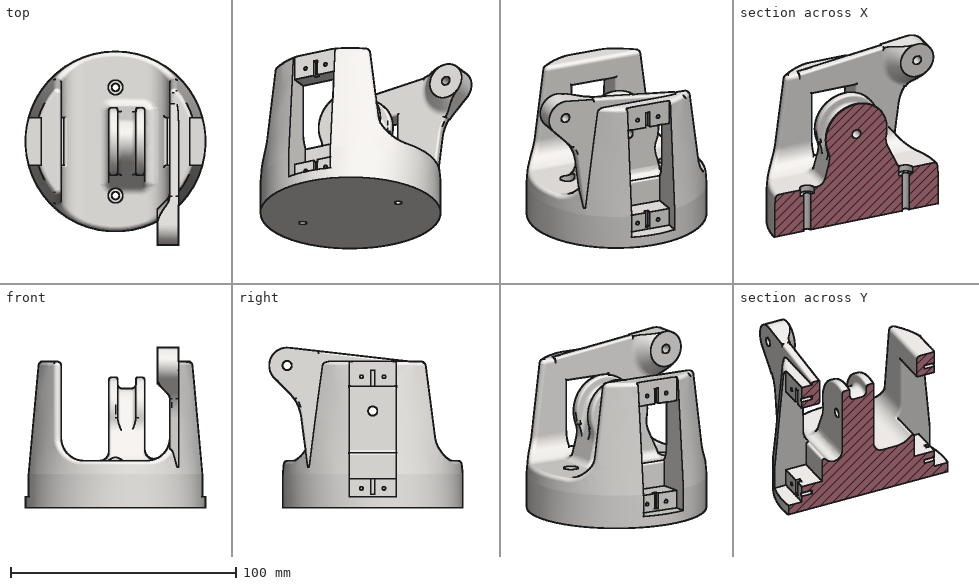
import cadquery as cq
import math

BASE_RADIUS = 40.0
BASE_HEIGHT = 15.0
WALL_TOP = 65.0
WALL_TAPER = 5.0
TOP_RADIUS = BASE_RADIUS - (WALL_TOP - BASE_HEIGHT) * math.tan(math.radians(WALL_TAPER))
WALL_INNER_X = 24.0
FLOOR_Z = 21.0
CHANNEL_RADIUS = 10.0
BODY_FILLET = 2.0

POCKET_WIDTH = 21.0
POCKET_FLOOR_X = 33.0
POCKET_BOTTOM_Z = 5.0
WINDOW_INNER_X = 23.0
WINDOW_BOTTOM_Z = 13.0
WINDOW_TOP_Z = 54.0
WINDOW_FILLET = 1.0

PIN_DIAMETER = 1.5
PIN_DEPTH = 5.0
PIN_SPACING = 10.0
UPPER_PIN_Z = 58.2
LOWER_PIN_Z = 8.7
KEY_WIDTH = 1.9
KEY_DEPTH = 2.0
KEY_LENGTH = 7.0

HUB_CENTER_X = 5.0
HUB_WIDTH = 16.0
HUB_AXIS_Z = 43.0
HUB_RADIUS = 15.0
GROOVE_RADIUS = 10.0
GROOVE_WIDTH = 8.0
GROOVE_FILLET = 2.0
HUB_BLEND_RADIUS = 10.0
HUB_FRONT_SLOPE = 25.0
HUB_BACK_SLOPE = 15.0
HUB_EDGE_FILLET = 1.25
RIM_FILLET = 1.0
HUB_BASE_FILLET = 4.0
HUB_ROOT_DEPTH = 2.0
AXLE_DIAMETER = 4.0

SCREW_Y = 24.0
SCREW_DIAMETER = 3.3
SCREW_HEAD_DIAMETER = 6.5
SCREW_HEAD_DEPTH = 3.0

ARM_OUTER_X = 28.0
ARM_EDGE_FILLET = 1.0
BOSS_Y = -37.97
BOSS_Z = 63.18
BOSS_RADIUS = 8.0
BOSS_INNER_X = 18.6
BOSS_FLARE_FILLET = 4.0
ARM_TOP_SLOPE = 6.5
ARM_NECK_ANGLE = 45.0
ARM_LOWER_SLOPE = 7.5
ARM_NECK_RADIUS = 18.0
ARM_CORNER_Z = 46.5
ARM_FOOT_Z = 18.0
ARM_BACK_LIMIT_Y = 16.0

CLEARANCE = 10.0
MARGIN = 0.1


def box(x_range, y_range, z_range):
    size = [high - low for low, high in (x_range, y_range, z_range)]
    corner = (x_range[0], y_range[0], z_range[0])
    return cq.Workplane("XY").box(*size, centered=False).translate(corner)


def x_cylinder(diameter, x_start, x_end, y, z):
    return (
        cq.Workplane("YZ", origin=(x_start, y, z))
        .circle(diameter / 2)
        .extrude(x_end - x_start)
    )


def make_blank():
    """Cylinder with a tapered upper part."""
    return (
        cq.Workplane("YZ")
        .lineTo(BASE_RADIUS, 0)
        .lineTo(BASE_RADIUS, BASE_HEIGHT)
        .lineTo(TOP_RADIUS, WALL_TOP)
        .lineTo(0, WALL_TOP)
        .close()
        .revolve(360, (0, 0, 0), (0, 1, 0))
    )


def make_body():
    """Blank split into two walls by a round-bottomed channel."""
    reach = BASE_RADIUS + CLEARANCE
    channel = (
        box((-WALL_INNER_X, WALL_INNER_X), (-reach, reach), (FLOOR_Z, WALL_TOP + CLEARANCE))
        .edges("|Y and <Z")
        .fillet(CHANNEL_RADIUS)
    )
    body = make_blank().cut(channel)
    upper = cq.selectors.BoxSelector((-reach, -reach, FLOOR_Z - 0.5), (reach, reach, WALL_TOP + 1))
    below_top = cq.selectors.BoxSelector((-reach, -reach, 0), (reach, reach, WALL_TOP - 1))
    seams = below_top & cq.StringSyntaxSelector("|Y")
    return body.edges(upper - seams).fillet(BODY_FILLET)


def hub_profile_points(side, slope):
    """Points down one side of the hub outline, as (y, z): rim, blend middle, foot, tangent, end."""
    angle = math.radians(slope)
    normal = (side * math.cos(angle), math.sin(angle))
    along = (side * math.sin(angle), -math.cos(angle))

    def at(out, down):
        return (out * normal[0] + down * along[0], HUB_AXIS_Z + out * normal[1] + down * along[1])

    blend_out = GROOVE_RADIUS + HUB_BLEND_RADIUS
    swing = math.acos(blend_out / (HUB_RADIUS + HUB_BLEND_RADIUS))
    blend_down = (HUB_RADIUS + HUB_BLEND_RADIUS) * math.sin(swing)
    half = swing / 2
    rim = at(HUB_RADIUS * math.cos(swing), HUB_RADIUS * math.sin(swing))
    middle = at(
        blend_out - HUB_BLEND_RADIUS * math.cos(half),
        blend_down - HUB_BLEND_RADIUS * math.sin(half),
    )
    foot = at(GROOVE_RADIUS, blend_down)
    tangent = at(GROOVE_RADIUS, 0)
    root_z = FLOOR_Z - HUB_ROOT_DEPTH
    end = at(GROOVE_RADIUS, (tangent[1] - root_z) / math.cos(angle))
    return rim, middle, foot, tangent, end


def groove_waste(front_end, front_tangent, back_tangent, back_end):
    """Round-cornered groove section swept up the front slope, over the hub and down the back."""
    path = (
        cq.Workplane("YZ", origin=(HUB_CENTER_X, 0, 0))
        .moveTo(*front_end)
        .lineTo(*front_tangent)
        .threePointArc((0, HUB_AXIS_Z + GROOVE_RADIUS), back_tangent)
        .lineTo(*back_end)
    )
    angle = math.radians(HUB_FRONT_SLOPE)
    plane = cq.Plane(
        origin=(HUB_CENTER_X, *front_end),
        xDir=(1, 0, 0),
        normal=(0, math.sin(angle), math.cos(angle)),
    )
    out = 1 if plane.yDir.y < 0 else -1
    half = GROOVE_WIDTH / 2
    flat = half - GROOVE_FILLET
    bend = GROOVE_FILLET * (1 - math.sqrt(0.5))
    depth = HUB_RADIUS - GROOVE_RADIUS + 1
    return (
        cq.Workplane(plane)
        .moveTo(-flat, 0)
        .lineTo(flat, 0)
        .threePointArc((half - bend, out * bend), (half, out * GROOVE_FILLET))
        .lineTo(half, out * depth)
        .lineTo(-half, out * depth)
        .lineTo(-half, out * GROOVE_FILLET)
        .threePointArc((-half + bend, out * bend), (-flat, 0))
        .close()
        .sweep(path)
    )


def rim_sliver(edge_x, side, start, end):
    """Waste that rounds one groove-side edge of the hub rim, clockwise between two (y, z) points."""
    bend = RIM_FILLET * (1 - math.sqrt(0.5))
    over = RIM_FILLET / 10
    start_angle = math.atan2(start[1] - HUB_AXIS_Z, start[0])
    end_angle = math.atan2(end[1] - HUB_AXIS_Z, end[0])
    sweep = math.degrees((start_angle - end_angle) % (2 * math.pi))
    return (
        cq.Workplane("XY")
        .moveTo(0, HUB_RADIUS - RIM_FILLET)
        .threePointArc((side * bend, HUB_RADIUS - bend), (side * RIM_FILLET, HUB_RADIUS))
        .lineTo(side * RIM_FILLET, HUB_RADIUS + over)
        .lineTo(-side * over, HUB_RADIUS + over)
        .lineTo(-side * over, HUB_RADIUS - RIM_FILLET)
        .close()
        .revolve(sweep, (0, 0, 0), (1, 0, 0))
        .rotate((0, 0, 0), (1, 0, 0), math.degrees(end_angle))
        .translate((edge_x, 0, HUB_AXIS_Z))
    )


def make_hub():
    """Grooved round head on a post that widens toward the floor."""
    f_rim, f_middle, f_foot, f_tangent, f_end = hub_profile_points(-1, HUB_FRONT_SLOPE)
    b_rim, b_middle, b_foot, b_tangent, b_end = hub_profile_points(1, HUB_BACK_SLOPE)
    hub = (
        cq.Workplane("YZ", origin=(HUB_CENTER_X - HUB_WIDTH / 2, 0, 0))
        .moveTo(*f_end)
        .lineTo(*f_foot)
        .threePointArc(f_middle, f_rim)
        .threePointArc((0, HUB_AXIS_Z + HUB_RADIUS), b_rim)
        .threePointArc(b_middle, b_foot)
        .lineTo(*b_end)
        .close()
        .extrude(HUB_WIDTH)
    )
    hub = hub.faces("<X or >X").edges("not <Z").fillet(HUB_EDGE_FILLET)
    hub = hub.cut(groove_waste(f_end, f_tangent, b_tangent, b_end))
    for side in (-1, 1):
        edge_x = HUB_CENTER_X + side * GROOVE_WIDTH / 2
        hub = hub.cut(rim_sliver(edge_x, side, f_rim, b_rim))
    return hub


def add_hub(body):
    body = body.union(make_hub())
    half_width = HUB_WIDTH / 2 + 0.5
    around_foot = cq.selectors.BoxSelector(
        (HUB_CENTER_X - half_width, -SCREW_Y, FLOOR_Z - MARGIN),
        (HUB_CENTER_X + half_width, SCREW_Y, FLOOR_Z + MARGIN),
    )
    body = body.edges(around_foot).fillet(HUB_BASE_FILLET)
    axle_hole = x_cylinder(
        AXLE_DIAMETER, HUB_CENTER_X - half_width, HUB_CENTER_X + half_width, 0, HUB_AXIS_Z
    )
    return body.cut(axle_hole)


def arm_outline():
    """Side outline of the arm: from the wall foot, around the boss and back to the wall top."""
    neck = math.radians(ARM_NECK_ANGLE)
    lower = math.radians(ARM_LOWER_SLOPE)
    top = math.radians(ARM_TOP_SLOPE)
    boss_bottom = (BOSS_Y - BOSS_RADIUS * math.sin(neck), BOSS_Z - BOSS_RADIUS * math.cos(neck))
    boss_top = (BOSS_Y + BOSS_RADIUS * math.sin(top), BOSS_Z + BOSS_RADIUS * math.cos(top))
    corner = (boss_bottom[0] + (boss_bottom[1] - ARM_CORNER_Z) / math.tan(neck), ARM_CORNER_Z)
    foot = (corner[0] + (ARM_CORNER_Z - ARM_FOOT_Z) * math.tan(lower), ARM_FOOT_Z)
    back_y = boss_top[0] + (boss_top[1] - WALL_TOP) / math.tan(top)
    turn = math.pi / 2 - lower - neck
    tangent = ARM_NECK_RADIUS * math.tan(turn / 2)
    arc_start = (corner[0] + tangent * math.sin(lower), corner[1] - tangent * math.cos(lower))
    arc_end = (corner[0] - tangent * math.cos(neck), corner[1] + tangent * math.sin(neck))
    return (
        cq.Workplane("YZ", origin=(BOSS_INNER_X, 0, 0))
        .moveTo(*foot)
        .lineTo(*arc_start)
        .radiusArc(arc_end, -ARM_NECK_RADIUS)
        .lineTo(*boss_bottom)
        .threePointArc((BOSS_Y - BOSS_RADIUS, BOSS_Z), boss_top)
        .lineTo(back_y, WALL_TOP)
        .lineTo(back_y, ARM_FOOT_Z)
        .close()
    )


def boss_flare():
    """45-degree cone that widens from the boss face and blends into the wall plane."""
    run = WALL_INNER_X - BOSS_INNER_X
    setback = BOSS_FLARE_FILLET * math.tan(math.pi / 8)
    diagonal = setback * math.sqrt(0.5)
    cone_end = (run - diagonal, BOSS_RADIUS + run - diagonal)
    plane_end = (run, BOSS_RADIUS + run + setback)
    plate_end = ARM_OUTER_X - BOSS_INNER_X
    return (
        cq.Workplane("XY", origin=(BOSS_INNER_X, BOSS_Y, BOSS_Z))
        .lineTo(0, BOSS_RADIUS)
        .lineTo(*cone_end)
        .radiusArc(plane_end, -BOSS_FLARE_FILLET)
        .lineTo(plate_end, plane_end[1])
        .lineTo(plate_end, 0)
        .close()
        .revolve(360, (0, 0, 0), (1, 0, 0))
    )


def add_arm(body):
    """Flat arm in the plane of one wall, with a thicker boss at its tip."""
    reach = 2 * BASE_RADIUS
    ceiling = 2 * WALL_TOP
    full = arm_outline().extrude(ARM_OUTER_X - BOSS_INNER_X)
    plate = full.intersect(box((WALL_INNER_X, ARM_OUTER_X), (-reach, reach), (0, ceiling)))
    exposed = cq.selectors.BoxSelector(
        (WALL_INNER_X - 1, -reach, ARM_FOOT_Z + MARGIN),
        (ARM_OUTER_X + 1, ARM_BACK_LIMIT_Y, ceiling),
    )
    plate = plate.faces("<X or >X").edges(exposed).fillet(ARM_EDGE_FILLET)
    boss = full.intersect(boss_flare())
    return body.union(plate).union(boss)


def wall_box(side, x_range, width, z_range):
    """Box centred on Y, with x_range measured outward on one side (-1 or 1) of the part."""
    block = box(x_range, (-width / 2, width / 2), z_range)
    return block if side > 0 else block.mirror("YZ")


def add_pocket(body, side):
    """Open-topped pocket and window through the wall on one side (-1 or 1)."""
    outside = BASE_RADIUS + CLEARANCE
    pocket_z = (POCKET_BOTTOM_Z, WALL_TOP + CLEARANCE)
    window_z = (WINDOW_BOTTOM_Z, WINDOW_TOP_Z)
    body = body.cut(wall_box(side, (POCKET_FLOOR_X, outside), POCKET_WIDTH, pocket_z))
    body = body.cut(wall_box(side, (WINDOW_INNER_X, outside), POCKET_WIDTH, window_z))
    half = POCKET_WIDTH / 2 + MARGIN
    opening = cq.selectors.BoxSelector(
        (side * (WINDOW_INNER_X - MARGIN), -half, FLOOR_Z),
        (side * (WALL_INNER_X + MARGIN), half, WINDOW_TOP_Z + MARGIN),
    )
    return body.edges(opening).fillet(WINDOW_FILLET)


def add_pins_and_keys(body, side):
    """Pin holes and key slots in the pocket floor, below and above the window."""
    floor_x = POCKET_FLOOR_X
    for pin_z in (LOWER_PIN_Z, UPPER_PIN_Z):
        for pin_y in (-PIN_SPACING / 2, PIN_SPACING / 2):
            pin = x_cylinder(PIN_DIAMETER, side * floor_x, side * (floor_x - PIN_DEPTH), pin_y, pin_z)
            body = body.cut(pin)
    for key_start in (WINDOW_BOTTOM_Z - KEY_LENGTH, WINDOW_TOP_Z):
        key_z = (key_start, key_start + KEY_LENGTH)
        body = body.cut(wall_box(side, (floor_x - KEY_DEPTH, floor_x), KEY_WIDTH, key_z))
    return body


def add_screw_holes(body):
    """Counterbored holes through the floor, in front of and behind the hub."""
    for y in (-SCREW_Y, SCREW_Y):
        hole = cq.Workplane("XY", origin=(0, y, 0)).circle(SCREW_DIAMETER / 2).extrude(FLOOR_Z)
        head = (
            cq.Workplane("XY", origin=(0, y, FLOOR_Z - SCREW_HEAD_DEPTH))
            .circle(SCREW_HEAD_DIAMETER / 2)
            .extrude(SCREW_HEAD_DEPTH + HUB_BASE_FILLET)
        )
        body = body.cut(hole).cut(head)
    return body


body = add_hub(make_body())
body = add_arm(body)
for wall_side in (-1, 1):
    body = add_pocket(body, wall_side)
    body = add_pins_and_keys(body, wall_side)
body = add_screw_holes(body)
result = body.cut(x_cylinder(AXLE_DIAMETER, 0, BASE_RADIUS, BOSS_Y, BOSS_Z))